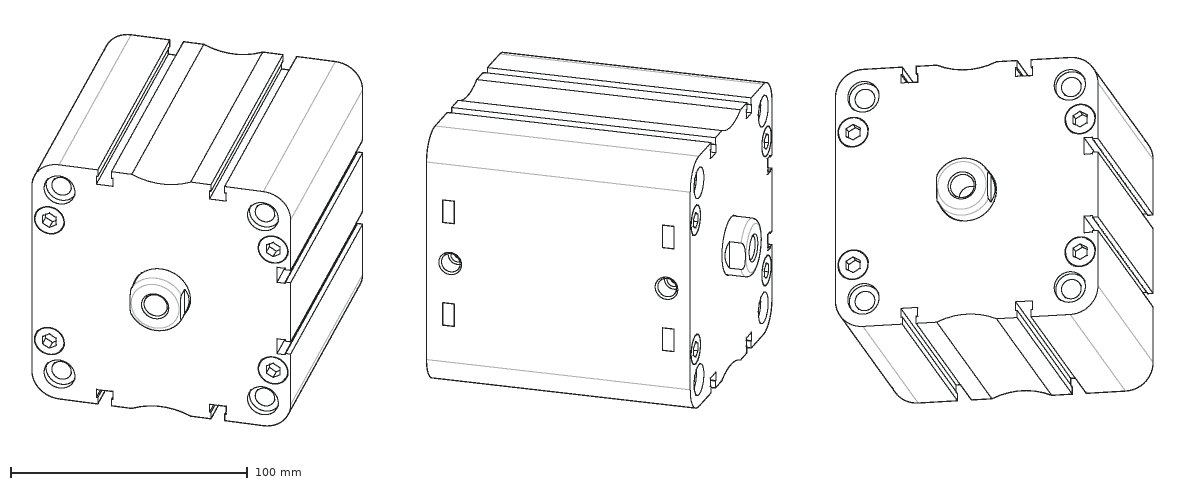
import cadquery as cq
import math

overall_length = 127.0
body_width = 113.3
body_length = 117.1
corner_radius = 12.0
half_width = body_width / 2

groove_width = 25.8
groove_depth = 2.8

slot_mouth = 6.0
slot_cavity = 7.2
top_slot_spacing = 49.5
top_slot_depth = 7.0
top_slot_lip = 3.2
side_slot_spacing = 34.5
side_slot_depth = 6.0
side_slot_lip = 2.4

mount_pitch = 89.0
mount_diameter = 8.5
mount_bore_diameter = 13.5
mount_bore_depth = 3.3

screw_pitch_x = 97.9
screw_pitch_z = 58.4
screw_head_diameter = 12.7
screw_bore_diameter = 13.1
screw_gap_depth = 1.3
hex_flats = 6.0
hex_depth = 5.1

rod_diameter = 25.0
rod_length = overall_length - body_length
rod_bore_diameter = 25.5
rod_gap_depth = 1.3
rod_edge_radius = 2.0
wrench_flats = 22.0
flat_length = 7.1
rod_hole_diameter = 10.2
rod_hole_mouth = 12.0
rod_hole_depth = 19.0
drill_point_angle = 118

port_inset = 10.5
port_mouth = 10.0
port_diameter = 8.3
port_depth = 10.2
port_core_diameter = 6.0
port_core_depth = 14.0

label_inset = 9.8
label_length = 5.1
label_height = 10.2
label_spacing = 46.5
label_depth = 0.3


def cylinder_along_y(diameter, y_start, length, x=0, z=0):
    """Cylinder running toward +Y from y_start."""
    return cq.Workplane(cq.Solid.makeCylinder(
        diameter / 2, length, cq.Vector(x, y_start, z), cq.Vector(0, 1, 0)))


def make_body():
    body = cq.Workplane("XY").box(body_width, body_length, body_width)
    body = body.translate((0, body_length / 2, 0))
    return body.edges("|Y").fillet(corner_radius)


def arched_groove():
    """Full-length arched groove in the top side."""
    return (
        cq.Workplane("XZ")
        .moveTo(-groove_width / 2, half_width)
        .threePointArc((0, half_width - groove_depth), (groove_width / 2, half_width))
        .close()
        .extrude(-body_length)
    )


def top_slot(offset, depth, lip):
    """Full-length T-slot in the top side, centred at X = offset."""
    mouth = (
        cq.Workplane("XZ")
        .center(offset, half_width - depth / 2)
        .rect(slot_mouth, depth)
        .extrude(-body_length)
    )
    cavity_depth = depth - lip
    cavity = (
        cq.Workplane("XZ")
        .center(offset, half_width - lip - cavity_depth / 2)
        .rect(slot_cavity, cavity_depth)
        .extrude(-body_length)
    )
    return mouth.union(cavity)


def cut_side_profiles(body):
    for side in (-1, 1):
        slot = top_slot(side * top_slot_spacing / 2, top_slot_depth, top_slot_lip)
        for profile in (slot, slot.mirror("XY")):
            body = body.cut(profile)
        side_slot = top_slot(side * side_slot_spacing / 2, side_slot_depth, side_slot_lip)
        body = body.cut(side_slot.rotate((0, 0, 0), (0, 1, 0), 90))
    groove = arched_groove()
    return body.cut(groove).cut(groove.mirror("XY"))


def cut_mounting_holes(body):
    for side_x in (-1, 1):
        for side_z in (-1, 1):
            x = side_x * mount_pitch / 2
            z = side_z * mount_pitch / 2
            body = body.cut(cylinder_along_y(mount_diameter, 0, body_length, x, z))
            body = body.cut(cylinder_along_y(mount_bore_diameter, 0, mount_bore_depth, x, z))
    return body


def cut_screw_heads(body):
    """Outline each screw with a ring gap and sink its hex socket."""
    hex_corners = hex_flats / math.cos(math.pi / 6)
    for side_x in (-1, 1):
        for side_z in (-1, 1):
            x = side_x * screw_pitch_x / 2
            z = side_z * screw_pitch_z / 2
            bore = cylinder_along_y(screw_bore_diameter, 0, screw_gap_depth, x, z)
            head = cylinder_along_y(screw_head_diameter, 0, screw_gap_depth, x, z)
            socket = (
                cq.Workplane("XZ")
                .polygon(6, hex_corners)
                .extrude(-hex_depth)
                .rotate((0, 0, 0), (0, 1, 0), 30)
                .translate((x, 0, z))
            )
            body = body.cut(bore.cut(head)).cut(socket)
    return body


def make_rod():
    """Rod from the bottom of its ring gap to its tip, with two wrench flats."""
    rod = cylinder_along_y(rod_diameter, -rod_length, rod_length + rod_gap_depth)
    rod = rod.faces("<Y").edges().fillet(rod_edge_radius)
    half_flats = wrench_flats / 2
    rod_radius = rod_diameter / 2
    flat_end = flat_length - rod_length
    flat_cut = (
        cq.Workplane("XY")
        .polyline([
            (half_flats, -rod_length),
            (half_flats, flat_end),
            (rod_radius, flat_end + rod_radius - half_flats),
            (rod_radius, -rod_length),
        ])
        .close()
        .extrude(rod_radius, both=True)
    )
    return rod.cut(flat_cut).cut(flat_cut.mirror("YZ"))


def rod_hole():
    """Blind hole in the rod tip with a 45-degree mouth and a drill point."""
    radius = rod_hole_diameter / 2
    mouth_radius = rod_hole_mouth / 2
    point_length = radius / math.tan(math.radians(drill_point_angle / 2))
    hole_end = rod_hole_depth - rod_length
    return (
        cq.Workplane("XY")
        .polyline([
            (0, -rod_length),
            (mouth_radius, -rod_length),
            (radius, -rod_length + mouth_radius - radius),
            (radius, hole_end),
            (0, hole_end + point_length),
        ])
        .close()
        .revolve(360, (0, 0, 0), (0, 1, 0))
    )


def port(y):
    """Stepped port entering from the -X side, with a 45-degree mouth."""
    mouth_radius = port_mouth / 2
    radius = port_diameter / 2
    core_radius = port_core_diameter / 2
    return (
        cq.Workplane("XY")
        .polyline([
            (-half_width, 0),
            (-half_width, mouth_radius),
            (-half_width + mouth_radius - radius, radius),
            (-half_width + port_depth, radius),
            (-half_width + port_depth, core_radius),
            (-half_width + port_core_depth, core_radius),
            (-half_width + port_core_depth, 0),
        ])
        .close()
        .revolve(360, (0, 0, 0), (1, 0, 0))
        .translate((0, y, 0))
    )


def label_field(y, z):
    field = cq.Workplane("XY").box(label_depth, label_length, label_height)
    return field.translate((-half_width + label_depth / 2, y, z))


def cut_ports_and_labels(body):
    for y in (port_inset, body_length - port_inset):
        body = body.cut(port(y))
    for y in (label_inset, body_length - label_inset):
        for side in (-1, 1):
            body = body.cut(label_field(y, side * label_spacing / 2))
    return body


result = cut_side_profiles(make_body())
result = cut_mounting_holes(result)
result = cut_screw_heads(result)
result = cut_ports_and_labels(result)
result = result.cut(cylinder_along_y(rod_bore_diameter, 0, rod_gap_depth))
result = result.union(make_rod()).cut(rod_hole())